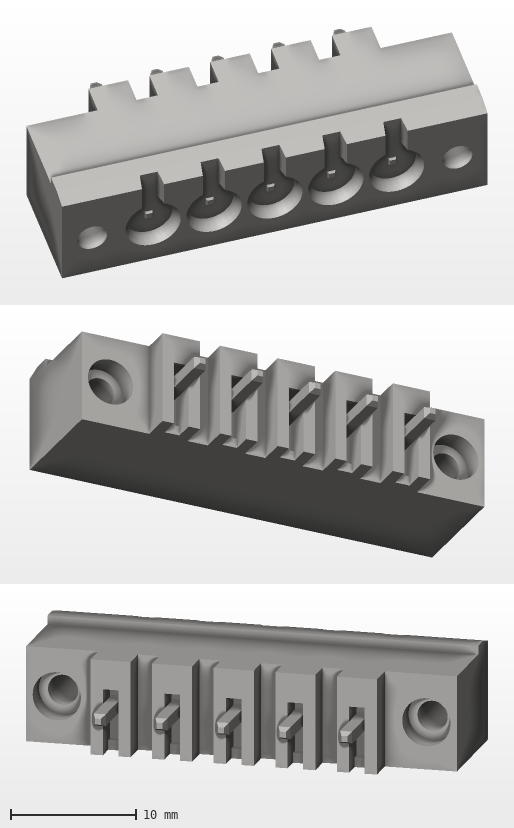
import cadquery as cq

LENGTH = 35.55
PITCH = 5.1
PIN_COUNT = 5

RIB_X = 4.0
WEB_X = 6.3
BODY_X = 6.47
RIDGE_X = 13.23
BEVEL_X = 14.72
MATING_X = 16.2

BODY_TOP = 7.9
RIDGE_TOP = 8.6
BEVEL_END_Z = 8.2
AXIS_Z = 3.9

RIB_WIDTH = 3.3
PIN_SIZE = 1.0
PIN_TIP_SIZE = 0.5
PIN_TIP_LENGTH = 0.57
PIN_END_X = 15.22

RIB_SLOT_WIDTH = 1.28
RIB_SLOT_TOP = 5.48
RIB_SLOT_LEDGE_Z = 0.82
RIB_SLOT_DEPTH = WEB_X - RIB_X
RIB_LEDGE_DEPTH = 1.7

MOUNT_Y = (PIN_COUNT + 1) / 2 * PITCH
MOUNT_DIAMETER = 2.5
COUNTERBORE_DIAMETER = 4.0
COUNTERBORE_DEPTH = 2.0

SOCKET_FLOOR_X = 15.0
SOCKET_FLOOR_RADIUS = 2.0
SOCKET_MOUTH_RADIUS = 2.3
SOCKET_SLOT_FLOOR_WIDTH = 1.5
SOCKET_SLOT_MOUTH_WIDTH = 1.85

PIN_YS = [(i - (PIN_COUNT - 1) / 2) * PITCH for i in range(PIN_COUNT)]


def block(x_start, x_end, y_center, width, z_start, z_end):
    """Box between two X stations and two heights, centred on y_center."""
    return cq.Workplane("XY").box(
        x_end - x_start, width, z_end - z_start, centered=(False, True, False)
    ).translate((x_start, y_center, z_start))


def make_body():
    """Housing with the bevelled ridge along its top mating edge."""
    outline = [
        (BODY_X, 0),
        (MATING_X, 0),
        (MATING_X, BEVEL_END_Z),
        (BEVEL_X, RIDGE_TOP),
        (RIDGE_X, RIDGE_TOP),
        (RIDGE_X, BODY_TOP),
        (BODY_X, BODY_TOP),
    ]
    return cq.Workplane("XZ").polyline(outline).close().extrude(LENGTH / 2, both=True)


def rib(y):
    """Rib that stands behind the housing around one pin."""
    return block(RIB_X, BODY_X, y, RIB_WIDTH, 0, BODY_TOP)


def make_web():
    """Thin web that joins the ribs, standing slightly proud of the housing."""
    return block(WEB_X, BODY_X, 0, PIN_YS[-1] - PIN_YS[0], 0, BODY_TOP)


def rib_slot(y):
    """Slot in a rib, open at the base, with a shallower stretch below the ledge."""
    upper = block(RIB_X, RIB_X + RIB_SLOT_DEPTH, y, RIB_SLOT_WIDTH, RIB_SLOT_LEDGE_Z, RIB_SLOT_TOP)
    lower = block(RIB_X, RIB_X + RIB_LEDGE_DEPTH, y, RIB_SLOT_WIDTH, 0, RIB_SLOT_LEDGE_Z)
    return upper.union(lower)


def pin(y):
    """Square pin running right through the housing, tapered at both ends."""
    half_size = PIN_SIZE / 2
    shank_end = PIN_END_X - PIN_TIP_LENGTH
    shank = block(PIN_TIP_LENGTH, shank_end, y, PIN_SIZE, AXIS_Z - half_size, AXIS_Z + half_size)
    for end_x, inward in ((0, 1), (PIN_END_X, -1)):
        tip = (
            cq.Workplane("YZ", origin=(end_x, y, AXIS_Z))
            .rect(PIN_TIP_SIZE, PIN_TIP_SIZE)
            .workplane(offset=inward * PIN_TIP_LENGTH)
            .rect(PIN_SIZE, PIN_SIZE)
            .loft()
        )
        shank = shank.union(tip)
    return shank


def mount_hole(y):
    """Through hole along X with a counterbore on the pin side."""
    start = cq.Workplane("YZ", origin=(BODY_X, y, AXIS_Z))
    bore = start.circle(MOUNT_DIAMETER / 2).extrude(MATING_X - BODY_X)
    counterbore = start.circle(COUNTERBORE_DIAMETER / 2).extrude(COUNTERBORE_DEPTH)
    return bore.union(counterbore)


def mating_socket(y):
    """Conical recess around a pin in the mating face, opened upward by a flared slot."""
    recess = cq.Workplane(
        cq.Solid.makeCone(
            SOCKET_FLOOR_RADIUS,
            SOCKET_MOUTH_RADIUS,
            MATING_X - SOCKET_FLOOR_X,
            cq.Vector(SOCKET_FLOOR_X, 0, AXIS_Z),
            cq.Vector(1, 0, 0),
        )
    )
    slot = (
        cq.Workplane("XY", origin=(0, 0, AXIS_Z))
        .polyline([
            (SOCKET_FLOOR_X, -SOCKET_SLOT_FLOOR_WIDTH / 2),
            (MATING_X, -SOCKET_SLOT_MOUTH_WIDTH / 2),
            (MATING_X, SOCKET_SLOT_MOUTH_WIDTH / 2),
            (SOCKET_FLOOR_X, SOCKET_SLOT_FLOOR_WIDTH / 2),
        ])
        .close()
        .extrude(RIDGE_TOP - AXIS_Z)
    )
    return recess.union(slot).translate((0, y, 0))


result = make_body().union(make_web())
for y in PIN_YS:
    result = result.union(rib(y)).cut(rib_slot(y)).cut(mating_socket(y)).union(pin(y))
for y in (-MOUNT_Y, MOUNT_Y):
    result = result.cut(mount_hole(y))